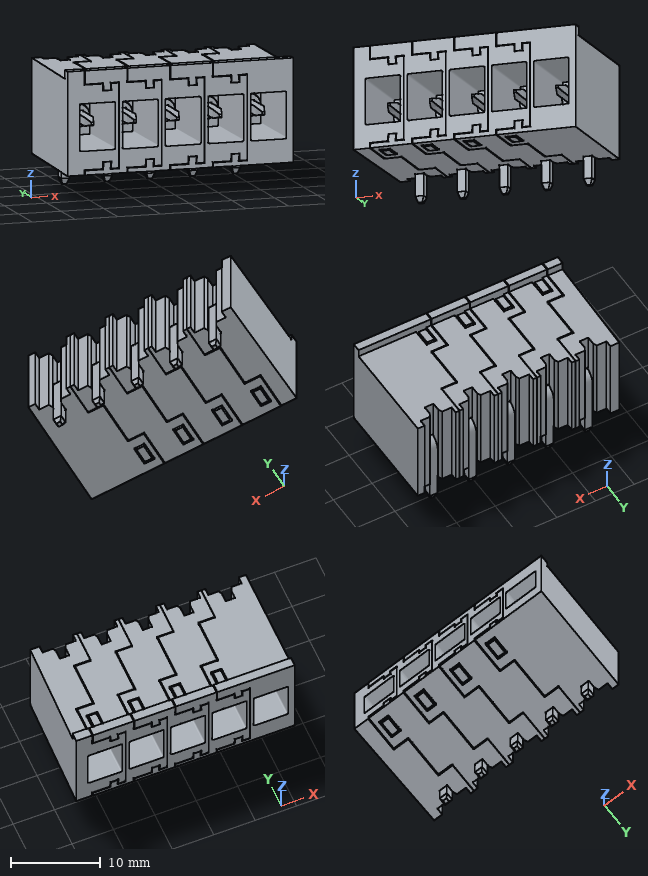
import cadquery as cq
import math

row_length = 26.4
first_setback = 0.03
depth = 14.02 - first_setback
body_height = 10.85
flange_height = 1.0
flange_thickness = 1.08
tail_length = 3.25
pole_count = 5
left_end_wall = 1.0
right_end_wall = 0.4
left_wall_draft = 0.35
pitch = (row_length - left_end_wall - right_end_wall) / pole_count
total_height = body_height + flange_height
mid_height = body_height / 2

clearance = 0.1
layer_gap = 0.08
core_gap = 0.03
plate_thickness = 0.53
front_reach = 3.95
middle_reach = 1.93
front_step = 4.55
back_step = 10.0
rib_left = 1.85
rib_right = 1.0
rib_height = 0.85
rib_lean = 0.05
rib_side_gap = 0.08
rib_tip_gap = 0.03

tab_width = 0.95
tab_offset = 2.7
tab_front = 1.32
tab_back = 3.17
tab_rise = 0.08
window_width = 1.32
window_back = 3.38

pocket_width = 4.17
pocket_height = 5.39
pocket_depth = 8.98
pocket_inset = 0.08
pocket_corner_radius = 0.2
collar_base_diameter = 3.0
collar_top_diameter = 2.6
collar_height = 2.1

pin_width = 1.0
pin_clearance = 0.05
bend_radius = pin_width
tip_front = 1.9
front_tip_length = 1.32
front_tip_width = 0.3
tail_tip_length = 0.69
tail_tip_width = 0.5
tail_inset = 1.9
tail_center = depth - tail_inset
slot_front = tail_center - pin_width / 2
slot_width = pin_width + 2 * pin_clearance
relief_width = 4.0
relief_depth = 0.87
funnel_width = 1.53
funnel_depth = 0.45


def block(x_range, y_range, z_range):
    """Box between the given limits."""
    (x0, x1), (y0, y1), (z0, z1) = x_range, y_range, z_range
    return cq.Workplane("XY").box(x1 - x0, y1 - y0, z1 - z0, centered=False).translate((x0, y0, z0))


def boundary_x(index):
    """Nominal face between housing index - 1 and housing index."""
    return left_end_wall + pitch * index


def pin_x(index):
    return boundary_x(index) + pitch / 2


def stepped_plate(boundary, gap, z_range):
    """Two-step plate reaching left of a boundary, grown outward by the gap."""
    outline = [
        (boundary, 0),
        (boundary - front_reach - gap, 0),
        (boundary - front_reach - gap, front_step + gap),
        (boundary - middle_reach - gap, front_step + gap),
        (boundary - middle_reach - gap, back_step + gap),
        (boundary, back_step + gap),
    ]
    z0, z1 = z_range
    return cq.Workplane("XY").workplane(offset=z0).polyline(outline).close().extrude(z1 - z0)


def leaning_rib(boundary, side_gap, tip_gap, end_gap):
    """Rib hanging from the top plate, running from the front to the front step."""
    root_z = body_height - plate_thickness
    tip_z = root_z - rib_height - tip_gap
    left = boundary - rib_left - side_gap
    right = boundary - rib_right + side_gap
    profile = [(left, root_z), (left + rib_lean, tip_z), (right + rib_lean, tip_z), (right, root_z)]
    return cq.Workplane("XZ").polyline(profile).close().extrude(-front_step - end_gap)


def with_mirror(shape):
    """The shape together with its reflection about mid height."""
    return shape.union(shape.mirror("XY", (0, 0, mid_height)))


def overlap_onto_neighbour(index):
    """Plates, ribs and flange piece that reach over the housing on the left, windows cut out."""
    boundary = boundary_x(index)
    plate = stepped_plate(boundary, 0, (body_height - plate_thickness, body_height))
    tab_x = boundary - tab_offset
    window = block(
        (tab_x - window_width / 2, tab_x + window_width / 2),
        (flange_thickness, window_back),
        (body_height - plate_thickness, body_height),
    )
    layers = with_mirror(plate.union(leaning_rib(boundary, 0, 0, 0)).cut(window))
    flange = block((boundary - front_reach, boundary), (0, flange_thickness), (body_height, total_height))
    return layers.union(flange)


def room_for_neighbour(index):
    """Space that a housing leaves for the overlap of the housing on its right."""
    boundary = boundary_x(index + 1)
    recess_floor = body_height - plate_thickness - layer_gap
    layer = stepped_plate(boundary, clearance, (recess_floor, body_height))
    flange_gap = block(
        (boundary - front_reach - clearance, boundary),
        (0, flange_thickness),
        (body_height, total_height),
    )
    notch = leaning_rib(boundary, rib_side_gap, rib_tip_gap, clearance)
    return with_mirror(layer.union(notch)).union(flange_gap)


def latch_tabs(index):
    """Tabs that stand in the windows of the housing on the right."""
    tab_x = boundary_x(index + 1) - tab_offset
    tab = block(
        (tab_x - tab_width / 2, tab_x + tab_width / 2),
        (tab_front, tab_back),
        (body_height - plate_thickness - layer_gap, body_height + tab_rise),
    )
    return with_mirror(tab)


def plug_pocket(x):
    """Drafted pocket with rounded corners and a conical collar left standing on its floor."""
    draft = math.degrees(math.atan(pocket_inset / pocket_depth))
    pocket = (
        cq.Workplane("XZ", origin=(x, 0, mid_height))
        .sketch()
        .rect(pocket_width, pocket_height)
        .vertices()
        .fillet(pocket_corner_radius)
        .finalize()
        .extrude(-pocket_depth, taper=draft)
    )
    collar = (
        cq.Workplane("XZ", origin=(x, pocket_depth, mid_height))
        .circle(collar_base_diameter / 2)
        .workplane(offset=collar_height)
        .circle(collar_top_diameter / 2)
        .loft()
    )
    return pocket.cut(collar)


def rear_relief(x):
    """Full-height relief in the back: shallow recess, funnel and slot around the pin tail."""
    half_outline = [
        (relief_width / 2, depth),
        (relief_width / 2, depth - relief_depth),
        (funnel_width / 2, depth - relief_depth),
        (slot_width / 2, depth - relief_depth - funnel_depth),
        (slot_width / 2, slot_front),
    ]
    outline = half_outline + [(-px, py) for px, py in reversed(half_outline)]
    return cq.Workplane("XY").polyline([(x + px, py) for px, py in outline]).close().extrude(body_height)


def pin_hole(x):
    """Square hole from the collar to the rear slot, deepened below the inside of the bend."""
    half = slot_width / 2
    across = (x - half, x + half)
    straight = block(
        across,
        (pocket_depth - collar_height, slot_front),
        (mid_height - half, mid_height + half),
    )
    inside_of_bend = block(
        across,
        (tail_center - bend_radius, slot_front),
        (mid_height - bend_radius, mid_height),
    )
    return straight.union(inside_of_bend)


def housing_core(index):
    """Block of one pole with its piece of flange, before interlocks and cut-outs."""
    is_first = index == 0
    is_last = index == pole_count - 1
    front_left = 0 if is_first else boundary_x(index)
    back_left = left_wall_draft if is_first else boundary_x(index)
    right = row_length if is_last else boundary_x(index + 1) - core_gap
    outline = [(front_left, 0), (right, 0), (right, depth), (back_left, depth)]
    core = cq.Workplane("XY").polyline(outline).close().extrude(total_height)
    above_body = block((0, row_length), (flange_thickness, depth), (body_height, total_height))
    return core.cut(above_body)


def make_housing(index):
    """One pole of the header, interlocked with the poles beside it."""
    housing = housing_core(index)
    if index < pole_count - 1:
        housing = housing.cut(room_for_neighbour(index)).union(latch_tabs(index))
    if index > 0:
        housing = housing.union(overlap_onto_neighbour(index))
    x = pin_x(index)
    return housing.cut(plug_pocket(x)).cut(pin_hole(x)).cut(rear_relief(x))


def make_pin(index):
    """Square contact bent downward, with a pyramid tip at each end."""
    x = pin_x(index)
    bar_front = tip_front + front_tip_length
    tail_end = tail_tip_length - tail_length
    path = (
        cq.Workplane("YZ", origin=(x, 0, 0))
        .moveTo(bar_front, mid_height)
        .lineTo(tail_center - bend_radius, mid_height)
        .tangentArcPoint((tail_center, mid_height - bend_radius), relative=False)
        .lineTo(tail_center, tail_end)
    )
    bar_start = cq.Workplane("XZ", origin=(x, bar_front, mid_height))
    bar = bar_start.rect(pin_width, pin_width).sweep(path)
    front_tip = (
        bar_start.rect(pin_width, pin_width)
        .workplane(offset=front_tip_length)
        .rect(front_tip_width, front_tip_width)
        .loft()
    )
    tail_tip = (
        cq.Workplane("XY", origin=(x, tail_center, tail_end))
        .rect(pin_width, pin_width)
        .workplane(offset=-tail_tip_length)
        .rect(tail_tip_width, tail_tip_width)
        .loft()
    )
    return bar.union(front_tip).union(tail_tip)


def placed(body, index):
    """Set the first pole slightly behind the others."""
    return body.translate((0, first_setback if index == 0 else 0, 0))


housings = [placed(make_housing(index), index) for index in range(pole_count)]
pins = [placed(make_pin(index), index) for index in range(pole_count)]

result = cq.Compound.makeCompound([body.val() for body in housings + pins])